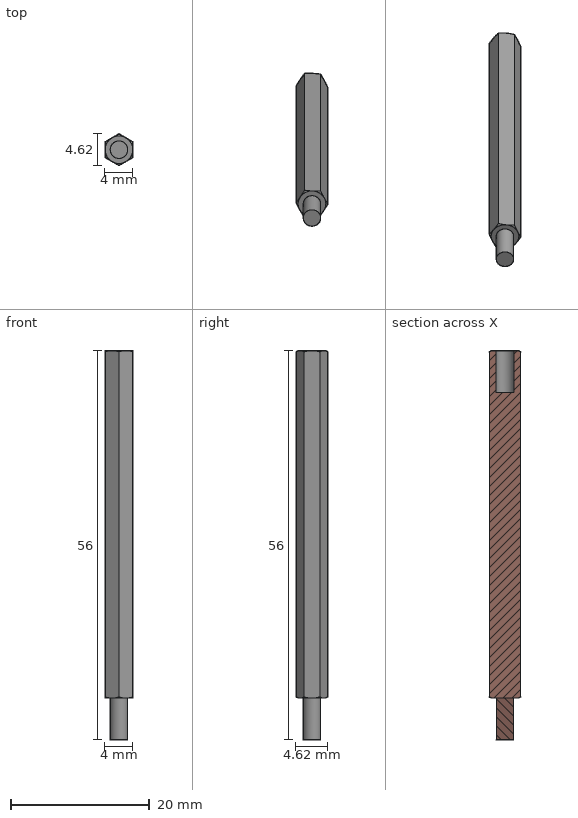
import cadquery as cq
import math

overall_length = 56.0
stud_length = 6.0
across_flats = 4.0
thread_diameter = 2.5
bore_depth = stud_length
corner_chamfer_angle = 30.0

across_corners = across_flats / math.cos(math.radians(30))
hex_length = overall_length - stud_length
chamfer_width = (across_corners - across_flats) / 2
chamfer_height = chamfer_width * math.tan(math.radians(corner_chamfer_angle))


def corner_trimming_envelope():
    """Round bar with coned ends whose end faces are as wide as the flats."""
    end_radius = across_flats / 2
    body_radius = across_corners / 2
    half_profile = [
        (0, stud_length),
        (end_radius, stud_length),
        (body_radius, stud_length + chamfer_height),
        (body_radius, overall_length - chamfer_height),
        (end_radius, overall_length),
        (0, overall_length),
    ]
    return cq.Workplane("XZ").polyline(half_profile).close().revolve(360, (0, 0), (0, 1))


def make_hex_spacer():
    """Hexagonal bar with corners along Y, coned ends and a blind bore in the top."""
    bar = (
        cq.Workplane("XY", origin=(0, 0, stud_length))
        .transformed(rotate=(0, 0, 90))
        .polygon(6, across_corners)
        .extrude(hex_length)
    )
    bore = (
        cq.Workplane("XY", origin=(0, 0, overall_length))
        .circle(thread_diameter / 2)
        .extrude(-bore_depth)
    )
    return bar.intersect(corner_trimming_envelope()).cut(bore)


def make_stud():
    """Plain round stud that meets the bottom face of the spacer."""
    return cq.Workplane("XY").circle(thread_diameter / 2).extrude(stud_length)


hex_spacer = make_hex_spacer()
stud = make_stud()

result = cq.Compound.makeCompound([hex_spacer.val(), stud.val()])